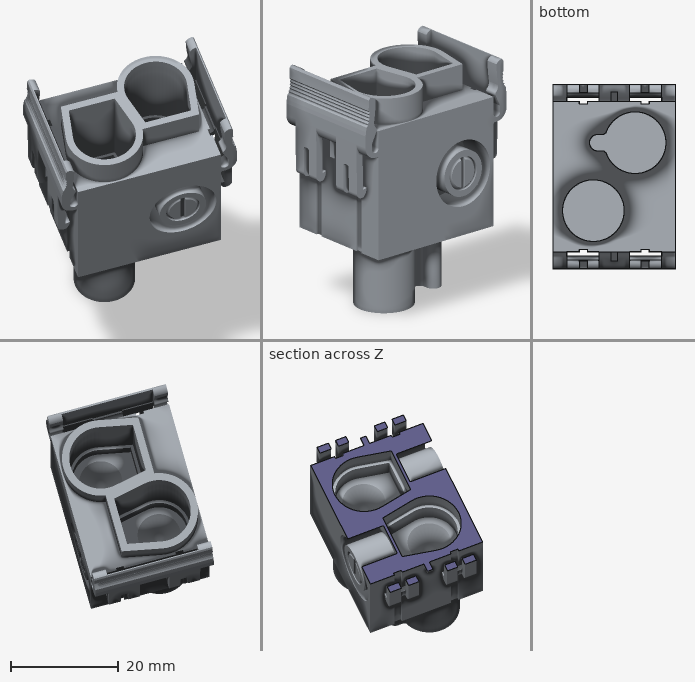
import cadquery as cq
import math

WIDTH = 22.8
CLIP_OUT = 17.1
TOTAL_HEIGHT = 45.05

BODY_HALF_Y = 13.95
BODY_BOTTOM = 12.4
BODY_TOP = 38.0

CONTACT_X = 3.87
CONTACT_Y = 6.3
PLUG_RADIUS = 5.7

RIB_HALF_WIDTH = 1.55
RIB_ROUND_X = -3.05
RIB_FLARE_X = -2.0
RIB_ROOT_X = -1.6
RIB_FLARE = 0.25

COLLAR_TOP = 43.15
COLLAR_RADIUS = 7.2
COLLAR_FLAT = 8.8
COLLAR_TAPER = 11.3
COLLAR_WALL = 1.35
LEDGE = 0.55
LEDGE_Z = 27.05
CHAMBER_FLOOR = 23.43
CONE_RADIUS = 4.0
CONE_DEPTH = 3.4

SCREW_Y = 6.58
SCREW_Z = 24.65
GROOVE_OUTER_RADIUS = 6.55
GROOVE_INNER_RADIUS = 4.55
GROOVE_DEPTH = 7.2
SCREW_BORE_RADIUS = 3.3
SCREW_BORE_DEPTH = 0.9
SCREW_RADIUS = 3.15
SCREW_CHAMFER = 0.45
SCREW_SLOT_WIDTH = 0.9

HOOP_RADIUS = 2.4
HOOP_Z = 35.3
HOOP_FILLET = 0.3
GAP_WIDTH = 1.58
GAP_Z = 34.65
GAP_OUT = BODY_HALF_Y + GAP_WIDTH
TOOTH_COUNT = 5
TOOTH_PITCH = 0.65
TOOTH_DEPTH = 0.23
TOOTH_BOTTOM = 39.4
GRIP_RADIUS = 4.5
GRIP_Y = 16.3
GRIP_Z = 41.63

SHOULDER_BOTTOM = (CLIP_OUT, 37.7)
SHOULDER_TOP = (17.05, 38.5)
TIP_BACK_MIDDLE = (16.35, 43.25)
TIP_BACK_TOP = (16.3, 44.65)
TIP_FLAT_OUT = 16.05
TIP_FLAT_IN = 15.85
TIP_ROUND_MIDDLE = (15.1, 44.8)
TIP_ROUND_END = (14.7, 44.3)
WAIST_UPPER_MIDDLE = (14.78, 42.2)
WAIST = (15.05, 40.1)
WAIST_LOWER_MIDDLE = (14.95, 39.4)
NOSE_TOP = (14.55, 38.8)
NOSE_MIDDLE = (14.35, 38.4)
NOSE_BOTTOM = (14.5, 38.0)
NOSE_RAMP_END = (GAP_OUT, 35.9)

RECESS_HALF_X = 8.8
RECESS_Y = 15.85
STRAP_HALF_X = 2.85

ARM_X = (RECESS_HALF_X + STRAP_HALF_X) / 2
ARM_WIDTH = RECESS_HALF_X - STRAP_HALF_X
ARM_BOTTOM = 24.45
ARM_ROUND = 1.05
ARM_IN = 15.68
ARM_OUT = 17.05
HOOK_IN = 15.55
HOOK_SHELF = 26.05
HOOK_SHELF_MIDDLE = (15.05, 26.1)
HOOK_TIP = (14.7, 26.2)
HOOK_NOSE = (14.7, 25.8)
HOOK_NOSE_MIDDLE = (15.05, 24.95)
HOOK_HEEL = (15.5, ARM_BOTTOM)
SLOT_X = 5.7
ARM_SLOT_WIDTH = 1.5
ARM_SLOT_TOP = 30.55
ARM_SLOT_ROUND = 0.45
BODY_SLOT_DEPTH = 0.45

STOP_WIDTH = 1.15
STOP_BOTTOM = 29.9
STOP_TOP = 33.3


def block(x0, x1, y0, y1, z0, z1):
    """Box between two opposite corners."""
    return cq.Workplane("XY").box(x1 - x0, y1 - y0, z1 - z0, centered=False).translate((x0, y0, z0))


def opposite(shape):
    """The same shape half a turn around the Z axis."""
    return shape.rotate((0, 0, 0), (0, 0, 1), 180)


def chamber_outline(inset, bottom, top):
    """D-shaped prism at the rear left chamber: a round end with sides tapering to a flat."""
    radius = COLLAR_RADIUS - inset
    flat = COLLAR_FLAT - inset
    taper = math.radians(COLLAR_TAPER)
    tangent_x = radius * math.sin(taper)
    tangent_y = radius * math.cos(taper)
    flat_y = tangent_y - (flat - tangent_x) * math.tan(taper)
    return (
        cq.Workplane("XY", origin=(-CONTACT_X, CONTACT_Y, bottom))
        .moveTo(flat, flat_y)
        .lineTo(tangent_x, tangent_y)
        .threePointArc((-radius, 0), (tangent_x, -tangent_y))
        .lineTo(flat, -flat_y)
        .close()
        .extrude(top - bottom)
    )


def chamber():
    """Stepped chamber with a conical seat in its floor."""
    mouth = chamber_outline(COLLAR_WALL, LEDGE_Z, COLLAR_TOP)
    lower = chamber_outline(COLLAR_WALL + LEDGE, CHAMBER_FLOOR, LEDGE_Z)
    apex = cq.Vector(-CONTACT_X, CONTACT_Y, CHAMBER_FLOOR - CONE_DEPTH)
    cone = cq.Workplane(cq.Solid.makeCone(0, CONE_RADIUS, CONE_DEPTH, pnt=apex))
    return mouth.union(lower).union(cone)


def coding_rib():
    """Round-nosed rib on the front plug, flared where it meets the plug."""
    flare_half = RIB_HALF_WIDTH + RIB_FLARE
    return (
        cq.Workplane("XY", origin=(0, -CONTACT_Y, 0))
        .moveTo(CONTACT_X, flare_half)
        .lineTo(RIB_ROOT_X, flare_half)
        .lineTo(RIB_FLARE_X, RIB_HALF_WIDTH)
        .lineTo(RIB_ROUND_X, RIB_HALF_WIDTH)
        .threePointArc((RIB_ROUND_X - RIB_HALF_WIDTH, 0), (RIB_ROUND_X, -RIB_HALF_WIDTH))
        .lineTo(RIB_FLARE_X, -RIB_HALF_WIDTH)
        .lineTo(RIB_ROOT_X, -flare_half)
        .lineTo(CONTACT_X, -flare_half)
        .close()
        .extrude(BODY_BOTTOM)
    )


def screw_cutout():
    """Ring groove, screw bore and slotted screw head in the -X face, as material to remove."""
    face = cq.Workplane("YZ", origin=(-WIDTH / 2, -SCREW_Y, SCREW_Z))
    groove = face.circle(GROOVE_OUTER_RADIUS).circle(GROOVE_INNER_RADIUS).extrude(GROOVE_DEPTH)
    bore = face.circle(SCREW_BORE_RADIUS).extrude(SCREW_BORE_DEPTH)
    head = face.circle(SCREW_RADIUS).extrude(SCREW_BORE_DEPTH).faces("<X").chamfer(SCREW_CHAMFER)
    slot = face.rect(SCREW_SLOT_WIDTH, 2 * SCREW_RADIUS).extrude(SCREW_BORE_DEPTH)
    return groove.union(bore.cut(head.cut(slot)))


def grip_y(z):
    """Y of the hollow finger grip at height z."""
    return GRIP_Y + GRIP_RADIUS - math.sqrt(GRIP_RADIUS**2 - (z - GRIP_Z) ** 2)


def spring_clip():
    """Hoop and toothed spring finger on the +Y face."""
    hoop_y = CLIP_OUT - HOOP_RADIUS
    hoop_bottom = HOOP_Z - HOOP_RADIUS
    diagonal = math.sqrt(0.5)
    gap_radius = GAP_WIDTH / 2
    profile = (
        cq.Workplane("YZ", origin=(-WIDTH / 2, 0, 0))
        .moveTo(BODY_HALF_Y, GAP_Z)
        .lineTo(BODY_HALF_Y, hoop_bottom - HOOP_FILLET)
        .threePointArc(
            (BODY_HALF_Y + HOOP_FILLET * (1 - diagonal), hoop_bottom - HOOP_FILLET * (1 - diagonal)),
            (BODY_HALF_Y + HOOP_FILLET, hoop_bottom),
        )
        .lineTo(hoop_y, hoop_bottom)
        .threePointArc((hoop_y + HOOP_RADIUS * diagonal, HOOP_Z - HOOP_RADIUS * diagonal), (CLIP_OUT, HOOP_Z))
        .lineTo(*SHOULDER_BOTTOM)
        .lineTo(*SHOULDER_TOP)
        .lineTo(grip_y(TOOTH_BOTTOM), TOOTH_BOTTOM)
    )
    for tooth in range(TOOTH_COUNT):
        valley_z = TOOTH_BOTTOM + (tooth + 0.5) * TOOTH_PITCH
        peak_z = TOOTH_BOTTOM + (tooth + 1) * TOOTH_PITCH
        profile = profile.lineTo(grip_y(valley_z) - TOOTH_DEPTH, valley_z)
        profile = profile.lineTo(grip_y(peak_z), peak_z)
    profile = (
        profile.threePointArc(TIP_BACK_MIDDLE, TIP_BACK_TOP)
        .lineTo(TIP_FLAT_OUT, TOTAL_HEIGHT)
        .lineTo(TIP_FLAT_IN, TOTAL_HEIGHT)
        .threePointArc(TIP_ROUND_MIDDLE, TIP_ROUND_END)
        .threePointArc(WAIST_UPPER_MIDDLE, WAIST)
        .threePointArc(WAIST_LOWER_MIDDLE, NOSE_TOP)
        .threePointArc(NOSE_MIDDLE, NOSE_BOTTOM)
        .lineTo(*NOSE_RAMP_END)
        .lineTo(GAP_OUT, GAP_Z)
        .threePointArc((GAP_OUT - gap_radius, GAP_Z - gap_radius), (BODY_HALF_Y, GAP_Z))
        .close()
    )
    clip = profile.extrude(WIDTH)
    recess = block(-RECESS_HALF_X, RECESS_HALF_X, BODY_HALF_Y, RECESS_Y, GAP_Z, TOTAL_HEIGHT)
    clip = clip.cut(recess)
    window = block(-ARM_WIDTH / 2, ARM_WIDTH / 2, BODY_HALF_Y, CLIP_OUT, 0, HOOP_Z)
    for side in (-1, 1):
        clip = clip.cut(window.translate((side * ARM_X, 0, 0)))
    return clip


def latch_arm():
    """Hooked arm hanging from the clip, slotted through its outer plate."""
    round_y = ARM_OUT - ARM_ROUND
    round_mid = ARM_ROUND * (1 - math.sqrt(0.5))
    return (
        cq.Workplane("YZ", origin=(-ARM_WIDTH / 2, 0, 0))
        .moveTo(CLIP_OUT, HOOP_Z)
        .lineTo(ARM_OUT, ARM_BOTTOM + ARM_ROUND)
        .threePointArc((ARM_OUT - round_mid, ARM_BOTTOM + round_mid), (round_y, ARM_BOTTOM))
        .lineTo(*HOOK_HEEL)
        .threePointArc(HOOK_NOSE_MIDDLE, HOOK_NOSE)
        .lineTo(*HOOK_TIP)
        .threePointArc(HOOK_SHELF_MIDDLE, (HOOK_IN, HOOK_SHELF))
        .lineTo(ARM_IN, HOOP_Z)
        .close()
        .extrude(ARM_WIDTH)
    )


def arm_slot():
    """Cutter for the slot in a latch arm, open at the lower end."""
    half = ARM_SLOT_WIDTH / 2
    slot = block(-half, half, HOOK_IN, CLIP_OUT, ARM_BOTTOM, ARM_SLOT_TOP)
    return slot.edges("|Y and >Z").fillet(ARM_SLOT_ROUND)


def clip_side():
    """Everything that stands out from the +Y face."""
    side_parts = spring_clip()
    for side in (-1, 1):
        arm = latch_arm().translate((side * ARM_X, 0, 0))
        side_parts = side_parts.union(arm.cut(arm_slot().translate((side * SLOT_X, 0, 0))))
    stop = block(-STOP_WIDTH / 2, STOP_WIDTH / 2, BODY_HALF_Y, ARM_IN, STOP_BOTTOM, STOP_TOP)
    return side_parts.union(stop)


def body_slots():
    """Two full-height slots in the +Y face, in line with the arm slots."""
    half = ARM_SLOT_WIDTH / 2
    slot = block(-half, half, BODY_HALF_Y - BODY_SLOT_DEPTH, BODY_HALF_Y, BODY_BOTTOM, BODY_TOP)
    return slot.translate((-SLOT_X, 0, 0)).union(slot.translate((SLOT_X, 0, 0)))


body = block(-WIDTH / 2, WIDTH / 2, -BODY_HALF_Y, BODY_HALF_Y, BODY_BOTTOM, BODY_TOP)
slots = body_slots()
body = body.cut(slots).cut(opposite(slots))

collar = chamber_outline(0, BODY_TOP, COLLAR_TOP)
body = body.union(collar).union(opposite(collar))

plug = cq.Workplane("XY").center(-CONTACT_X, CONTACT_Y).circle(PLUG_RADIUS).extrude(BODY_BOTTOM)
body = body.union(plug).union(opposite(plug)).union(coding_rib())

for cutter in (chamber(), screw_cutout()):
    body = body.cut(cutter).cut(opposite(cutter))

clips = clip_side()
result = body.union(clips).union(opposite(clips))